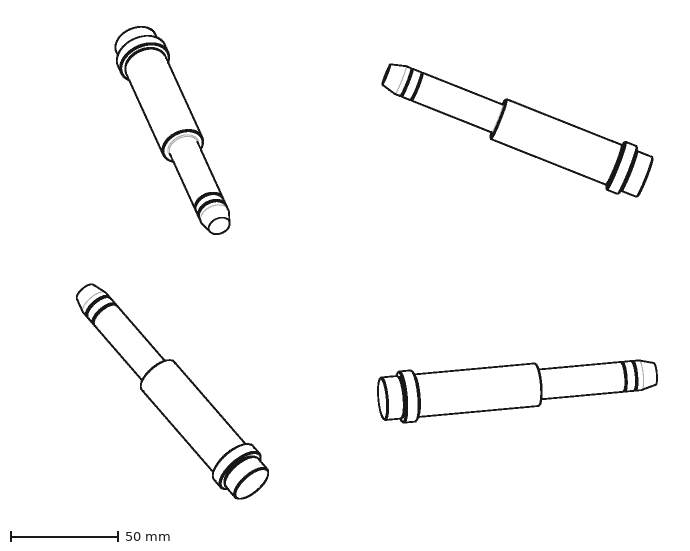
import cadquery as cq
import math

length = 130.0
body_diameter = 20.0
collar_diameter = 24.0
stem_diameter = 14.0

collar_start = 8.7
collar_end = 15.0
body_end = 74.0
taper_start = 123.0
groove_starts = (114.4, 119.5)

edge_chamfer = 0.5
shoulder_fillet = 0.5
relief_width = 0.8
relief_depth = 0.4
groove_width = 0.8
groove_depth = 0.4
taper_angle = 15.0

body_radius = body_diameter / 2
collar_radius = collar_diameter / 2
stem_radius = stem_diameter / 2
tip_radius = stem_radius - (length - taper_start) * math.tan(math.radians(taper_angle))


def cylinder(start, end, radius):
    """Solid cylinder on the X axis between two axial places."""
    return cq.Workplane("YZ", origin=(start, 0, 0)).circle(radius).extrude(end - start)


def cut_groove(shaft, start, width, depth, radius):
    """Cut a square-cornered ring groove into a shaft of the given radius."""
    ring = cylinder(start, start + width, radius).cut(cylinder(start, start + width, radius - depth))
    return shaft.cut(ring)


def make_body():
    """Main cylinder with chamfered ends and reliefs on both sides of the collar."""
    body = cylinder(0, body_end, body_radius).faces("<X or >X").chamfer(edge_chamfer)
    for relief_start in (collar_start - relief_width, collar_end):
        body = cut_groove(body, relief_start, relief_width, relief_depth, body_radius)
    return body


def make_collar():
    """Collar with both rims chamfered."""
    return cylinder(collar_start, collar_end, collar_radius).faces("<X or >X").chamfer(edge_chamfer)


def make_stem():
    """Thin stem rooted inside the body, with a fillet at the shoulder, two ring grooves and a tapered tip."""
    fillet_rim_radius = stem_radius + shoulder_fillet
    fillet_sag = shoulder_fillet * (1 - math.sqrt(0.5))
    stem = (
        cq.Workplane("XY")
        .moveTo(collar_end, 0)
        .lineTo(collar_end, fillet_rim_radius)
        .lineTo(body_end, fillet_rim_radius)
        .threePointArc(
            (body_end + fillet_sag, stem_radius + fillet_sag),
            (body_end + shoulder_fillet, stem_radius),
        )
        .lineTo(taper_start, stem_radius)
        .lineTo(length, tip_radius)
        .lineTo(length, 0)
        .close()
        .revolve(360, (0, 0, 0), (1, 0, 0))
    )
    for groove_start in groove_starts:
        stem = cut_groove(stem, groove_start, groove_width, groove_depth, stem_radius)
    return stem


result = make_body().union(make_collar()).union(make_stem())